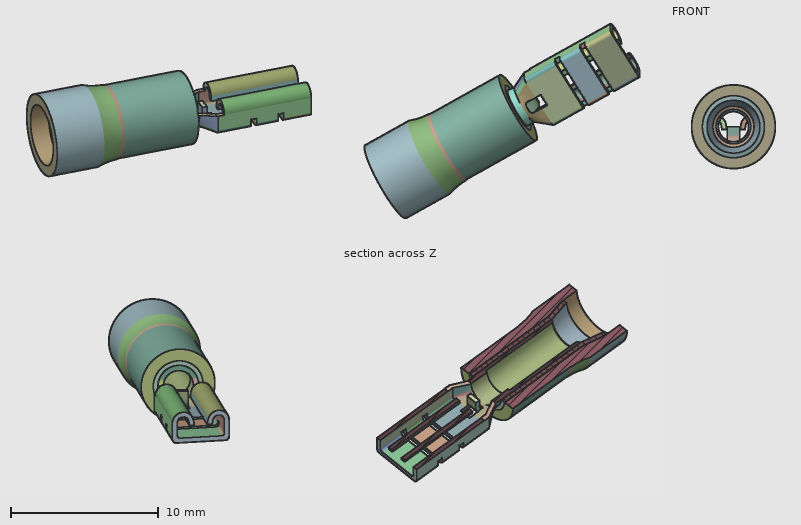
import cadquery as cq
import math

OVERALL_LENGTH = 18.82

HOUSING_LENGTH = 10.4
ENTRY_RADIUS = 2.85
ENTRY_LENGTH = 3.43
GRIP_RADIUS = 2.55
TAPER_END_Y = 4.8
TAPER_END_RADIUS = 2.58
TAPER_MIDDLE_RADIUS = 2.65
TAPER_LEAD_OUT = 0.23

SHEET = 0.34
BARREL_RADIUS = 1.4
BARREL_START_Y = 3.01
BARREL_BORE_RADIUS = 1.17
MOUTH_FLAT = 0.01
BARREL_MOUTH_FILLET = BARREL_RADIUS - BARREL_BORE_RADIUS - MOUTH_FLAT
NECK_BORE_RADIUS = 1.02
WIRE_STOP_Y = 9.41
NECK_END_Y = 10.92
NECK_RISE = 0.45

RECEPTACLE_START_Y = 12.05
RECEPTACLE_HALF_WIDTH = 1.95
OUTER_CORNER_RADIUS = 0.28
INNER_CORNER_RADIUS = 0.19
CURL_START_Y = 12.5
CURL_RADIUS = 0.73
CURL_SWEEP = 170.0
CURL_CENTRE_Z = 0.04
CURL_TIP_Z = -0.19

SLOT_WIDTH = 0.4
SLOT_TOP_Z = -0.75
SLOT_PITCH = 1.98
FIRST_SLOT_Y = 14.65
SLOT_COUNT = 2

TONGUE_WIDTH = 0.87
TONGUE_BEND_RADIUS = 0.45
TONGUE_FACE_Y = 11.5
WINDOW_START_Y = 11.18
WINDOW_END_Y = 12.44

SLEEVE_WALL = 0.32
FLARE_START_Y = 1.25
FLARE_END_Y = BARREL_START_Y
FLARE_MOUTH_RADIUS = 1.79
FLARE_ANGLE = math.atan2(FLARE_MOUTH_RADIUS - BARREL_RADIUS, FLARE_END_Y - FLARE_START_Y)
SLEEVE_RADIUS = BARREL_RADIUS + SLEEVE_WALL
FLARE_RIM_Y = FLARE_START_Y + SLEEVE_WALL * math.sin(FLARE_ANGLE)
FLARE_RIM_RADIUS = FLARE_MOUTH_RADIUS + SLEEVE_WALL * math.cos(FLARE_ANGLE)
FLARE_ROOT_Y = FLARE_END_Y + SLEEVE_WALL * math.tan(FLARE_ANGLE / 2)


def revolve_about_y(outline):
    """Turn a closed (radius, Y) outline once around the Y axis."""
    return outline.close().revolve(360, (0, 0, 0), (0, 1, 0))


def section_at(y):
    """Workplane at the given Y whose local axes are X and Z; it extrudes towards +Y."""
    return cq.Workplane(cq.Plane(origin=(0, y, 0), xDir=(-1, 0, 0), normal=(0, 1, 0)))


def make_housing():
    outline = (
        cq.Workplane("XY")
        .moveTo(FLARE_RIM_RADIUS, 0)
        .lineTo(ENTRY_RADIUS, 0)
        .lineTo(ENTRY_RADIUS, ENTRY_LENGTH)
        .threePointArc(
            (TAPER_MIDDLE_RADIUS, (ENTRY_LENGTH + TAPER_END_Y) / 2),
            (TAPER_END_RADIUS, TAPER_END_Y),
        )
        .lineTo(GRIP_RADIUS, TAPER_END_Y + TAPER_LEAD_OUT)
        .lineTo(GRIP_RADIUS, HOUSING_LENGTH)
        .lineTo(SLEEVE_RADIUS, HOUSING_LENGTH)
        .lineTo(SLEEVE_RADIUS, FLARE_ROOT_Y)
        .lineTo(FLARE_RIM_RADIUS, FLARE_RIM_Y)
    )
    return revolve_about_y(outline)


def make_sleeve():
    outline = (
        cq.Workplane("XY")
        .moveTo(FLARE_MOUTH_RADIUS, FLARE_START_Y)
        .lineTo(FLARE_RIM_RADIUS, FLARE_RIM_Y)
        .lineTo(SLEEVE_RADIUS, FLARE_ROOT_Y)
        .lineTo(SLEEVE_RADIUS, HOUSING_LENGTH)
        .lineTo(BARREL_RADIUS, HOUSING_LENGTH)
        .lineTo(BARREL_RADIUS, FLARE_END_Y)
    )
    return revolve_about_y(outline)


def make_barrel():
    """Tube with a rounded mouth and a wire stop; its far end is cut down to a half-round neck."""
    fillet_offset = BARREL_MOUTH_FILLET * (1 - math.sqrt(0.5))
    outline = (
        cq.Workplane("XY")
        .moveTo(BARREL_BORE_RADIUS + BARREL_MOUTH_FILLET, BARREL_START_Y)
        .lineTo(BARREL_RADIUS, BARREL_START_Y)
        .lineTo(BARREL_RADIUS, NECK_END_Y)
        .lineTo(NECK_BORE_RADIUS, NECK_END_Y)
        .lineTo(NECK_BORE_RADIUS, WIRE_STOP_Y)
        .lineTo(BARREL_BORE_RADIUS, WIRE_STOP_Y)
        .lineTo(BARREL_BORE_RADIUS, BARREL_START_Y + BARREL_MOUTH_FILLET)
        .threePointArc(
            (BARREL_BORE_RADIUS + fillet_offset, BARREL_START_Y + fillet_offset),
            (BARREL_BORE_RADIUS + BARREL_MOUTH_FILLET, BARREL_START_Y),
        )
    )
    return revolve_about_y(outline).cut(make_neck_opening())


def make_neck_opening():
    """Removes the top of the neck down to an arc that is level at the neck end."""
    neck_length = NECK_END_Y - HOUSING_LENGTH
    arc_radius = (neck_length**2 + NECK_RISE**2) / (2 * NECK_RISE)
    half_angle = math.asin(neck_length / arc_radius) / 2
    arc_middle = (
        NECK_END_Y - arc_radius * math.sin(half_angle),
        arc_radius * (1 - math.cos(half_angle)),
    )
    return (
        cq.Workplane("YZ")
        .moveTo(NECK_END_Y, 0)
        .threePointArc(arc_middle, (HOUSING_LENGTH, NECK_RISE))
        .lineTo(HOUSING_LENGTH, BARREL_RADIUS)
        .lineTo(NECK_END_Y, BARREL_RADIUS)
        .close()
        .extrude(BARREL_RADIUS, both=True)
    )


def trough_outline(inset, corner):
    """Flat-bottomed trough with rounded corners, open side at Z = 0."""
    half_width = RECEPTACLE_HALF_WIDTH - inset
    depth = BARREL_RADIUS - inset
    bow = corner * math.sqrt(0.5)
    corner_x = half_width - corner
    corner_z = corner - depth
    return (
        section_at(RECEPTACLE_START_Y)
        .moveTo(-half_width, 0)
        .lineTo(-half_width, corner_z)
        .threePointArc((-corner_x - bow, corner_z - bow), (-corner_x, -depth))
        .lineTo(corner_x, -depth)
        .threePointArc((corner_x + bow, corner_z - bow), (half_width, corner_z))
        .lineTo(half_width, 0)
        .close()
    )


def half_round_outline(radius, inset, corner):
    """Lower half disc whose arc is divided in proportion to the sides of the matching trough."""
    wall = BARREL_RADIUS - inset - corner
    bend = corner * math.pi / 2
    floor = 2 * (RECEPTACLE_HALF_WIDTH - inset - corner)
    stretches = (wall, bend, floor, bend, wall)
    outline = section_at(NECK_END_Y).moveTo(-radius, 0)
    angle = math.pi
    for stretch in stretches:
        step = math.pi * stretch / sum(stretches)
        middle = angle + step / 2
        angle += step
        outline = outline.threePointArc(
            (radius * math.cos(middle), radius * math.sin(middle)),
            (radius * math.cos(angle), radius * math.sin(angle)),
        )
    return outline.close()


def transition_loft(radius, inset, corner):
    """Solid that changes from a half disc at the neck to the trough of the receptacle."""
    round_end = half_round_outline(radius, inset, corner).wires().val()
    flat_end = trough_outline(inset, corner).wires().val()
    return cq.Workplane(cq.Solid.makeLoft([round_end, flat_end], True))


def outer_transition():
    return transition_loft(BARREL_RADIUS, 0, OUTER_CORNER_RADIUS)


def make_transition():
    return outer_transition().cut(transition_loft(NECK_BORE_RADIUS, SHEET, INNER_CORNER_RADIUS))


def make_trough():
    length = OVERALL_LENGTH - RECEPTACLE_START_Y
    outside = trough_outline(0, OUTER_CORNER_RADIUS).extrude(length)
    inside = trough_outline(SHEET, INNER_CORNER_RADIUS).extrude(length)
    return outside.cut(inside)


def make_curl(side):
    """Side wall rolled inwards over the floor with a straight tip; side is +1 or -1."""
    inner_radius = CURL_RADIUS - SHEET
    centre = RECEPTACLE_HALF_WIDTH - CURL_RADIUS
    sweep = math.radians(CURL_SWEEP)

    def at(x, z):
        return (side * x, z)

    def on_arc(radius, angle):
        return at(centre + radius * math.cos(angle), CURL_CENTRE_Z + radius * math.sin(angle))

    def tip_end(radius):
        """Where the tangent at the end of the arc reaches the tip height."""
        drop = CURL_CENTRE_Z - CURL_TIP_Z
        return at(centre + (radius + drop * math.sin(sweep)) / math.cos(sweep), CURL_TIP_Z)

    return (
        section_at(CURL_START_Y)
        .moveTo(*at(centre + CURL_RADIUS, 0))
        .lineTo(*on_arc(CURL_RADIUS, 0))
        .threePointArc(on_arc(CURL_RADIUS, sweep / 2), on_arc(CURL_RADIUS, sweep))
        .lineTo(*tip_end(CURL_RADIUS))
        .lineTo(*tip_end(inner_radius))
        .lineTo(*on_arc(inner_radius, sweep))
        .threePointArc(on_arc(inner_radius, sweep / 2), on_arc(inner_radius, 0))
        .lineTo(*at(centre + inner_radius, 0))
        .close()
        .extrude(OVERALL_LENGTH - CURL_START_Y)
    )


def make_slot(index):
    """Slot across the full width, through the floor and the lower part of both walls."""
    height = BARREL_RADIUS + SLOT_TOP_Z
    return cq.Workplane("XY").box(
        2 * RECEPTACLE_HALF_WIDTH, SLOT_WIDTH, height
    ).translate((0, FIRST_SLOT_Y + index * SLOT_PITCH, SLOT_TOP_Z - height / 2))


def make_window():
    """Opening in the floor that the tongue is bent out of."""
    length = WINDOW_END_Y - WINDOW_START_Y
    return cq.Workplane("XY").box(
        TONGUE_WIDTH, length, BARREL_RADIUS
    ).translate((0, WINDOW_START_Y + length / 2, -BARREL_RADIUS / 2))


def make_tongue():
    """Strip of the floor bent upright, level with the wall tops and flush with the underside."""
    outer_radius = TONGUE_BEND_RADIUS + SHEET
    bend_y = TONGUE_FACE_Y - TONGUE_BEND_RADIUS
    bend_z = outer_radius - BARREL_RADIUS
    diagonal = math.sqrt(0.5)
    strip = (
        cq.Workplane("YZ")
        .moveTo(bend_y, -BARREL_RADIUS)
        .threePointArc(
            (bend_y + outer_radius * diagonal, bend_z - outer_radius * diagonal),
            (TONGUE_FACE_Y + SHEET, bend_z),
        )
        .lineTo(TONGUE_FACE_Y + SHEET, 0)
        .lineTo(TONGUE_FACE_Y, 0)
        .lineTo(TONGUE_FACE_Y, bend_z)
        .threePointArc(
            (bend_y + TONGUE_BEND_RADIUS * diagonal, bend_z - TONGUE_BEND_RADIUS * diagonal),
            (bend_y, bend_z - TONGUE_BEND_RADIUS),
        )
        .close()
        .extrude(TONGUE_WIDTH / 2, both=True)
    )
    return strip.intersect(outer_transition())


def make_terminal():
    terminal = make_barrel()
    terminal = terminal.union(make_transition())
    terminal = terminal.union(make_trough())
    for side in (1, -1):
        terminal = terminal.union(make_curl(side))
    for index in range(SLOT_COUNT):
        terminal = terminal.cut(make_slot(index))
    return terminal.cut(make_window()).union(make_tongue())


housing = make_housing()
sleeve = make_sleeve()
terminal = make_terminal()

result = cq.Compound.makeCompound([housing.val(), sleeve.val(), terminal.solids().val()])